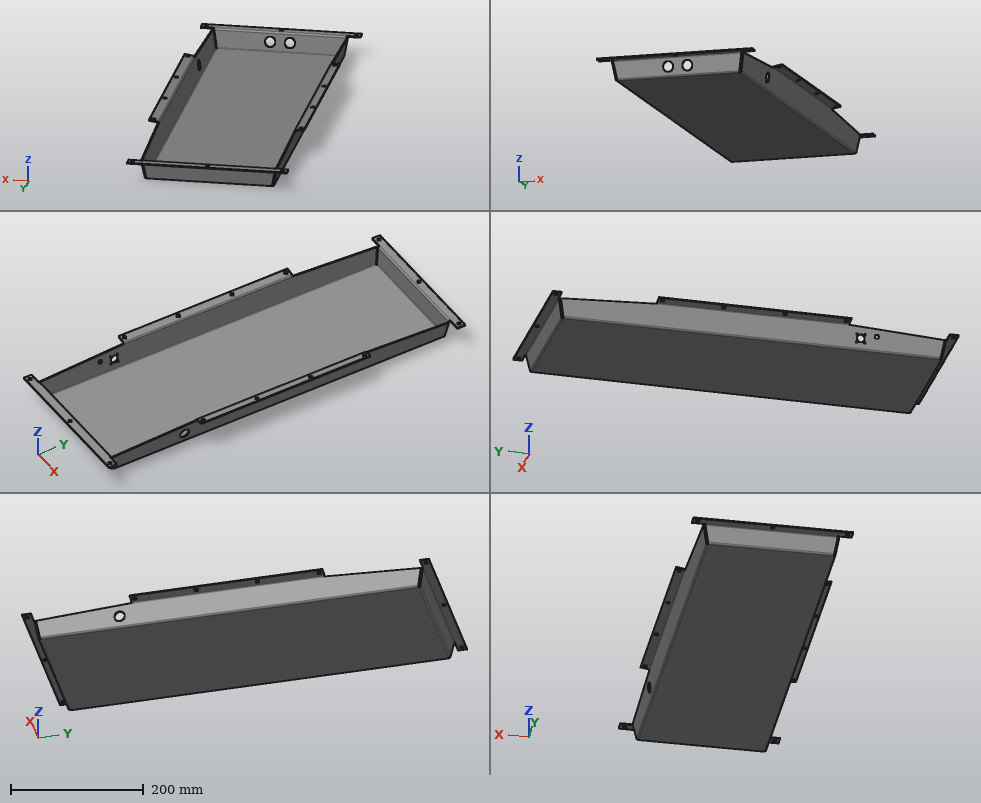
import cadquery as cq
import math

sheet = 2.0
inner_radius = 1.0
outer_radius = inner_radius + sheet
wall_tilt = 10.0
flange_rise = 10.0
corner_gap = 0.95

overall_width = 244.5
overall_length = 630.5
overall_height = 42.0

bottom_half_width = 99.0
bottom_half_length = 295.5

end_flange_top = 31.5
end_flange_inner_y = 301.5
end_hole_x = 115.0
end_hole_y = 309.0

side_flange_edge_x = 119.0
side_flange_half_length = 149.5
side_hole_x = 113.0
side_hole_pitch = 95.0
side_hole_count = 4
mounting_hole_diameter = 5.5

side_edge_high_z = 37.0
side_edge_low_z = 29.5

end_wall_hole_diameter = 16.0
end_wall_hole_x = 15.0
end_wall_hole_z = 16.0
connector_diameter = 12.0
connector_y = -168.5
connector_z = 18.0
screw_diameter = 2.1
screw_offset = 6.0
small_hole_diameter = 6.0
small_hole_y = -193.0
small_hole_z = 23.5
opposite_hole_diameter = 16.0
opposite_hole_y = -169.0

tilt_slope = math.tan(math.radians(wall_tilt))
rise_slope = math.tan(math.radians(flange_rise))
bottom_bend = math.radians(90 - wall_tilt)
bend_setback = outer_radius * math.tan(bottom_bend / 2)
wall_inset = sheet / math.cos(math.radians(wall_tilt)) + corner_gap


def bent_strip(plane, bottom_half, wall_height, flange_edge, flange_slope, half_length):
    """Bottom bend, leaning wall and flange of one edge, as a long extruded strip."""
    flange_angle = math.atan(flange_slope)
    wall_angle = bottom_bend
    top_bend = wall_angle - flange_angle

    def above(point, direction, bend):
        reach = sheet / math.cos(bend / 2)
        return (point[0] - reach * math.sin(direction), point[1] + reach * math.cos(direction))

    start = (bottom_half - bend_setback - sheet, 0)
    corner = (bottom_half, 0)
    shoulder = (bottom_half + wall_height * tilt_slope, wall_height)
    edge = (flange_edge, wall_height + (flange_edge - shoulder[0]) * flange_slope)
    corner_above = above(corner, wall_angle / 2, bottom_bend)
    shoulder_above = above(shoulder, (wall_angle + flange_angle) / 2, top_bend)
    lower = [start, corner, shoulder, edge]
    upper = [above(edge, flange_angle, 0), shoulder_above, corner_above, above(start, 0, 0)]

    strip = cq.Workplane(plane).polyline(lower + upper).close().extrude(half_length, both=True)
    bends = [
        (corner, outer_radius),
        (corner_above, inner_radius),
        (shoulder, inner_radius),
        (shoulder_above, outer_radius),
    ]
    for point, radius in bends:
        target = cq.Plane.named(plane).toWorldCoords(point)
        strip = strip.edges(cq.selectors.NearestToPointSelector(target.toTuple())).fillet(radius)
    return strip


def cylinder(plane, x, y, diameter, start, end):
    """Cutting cylinder standing on a named plane between two offsets along its normal."""
    return (
        cq.Workplane(plane).workplane(offset=start).center(x, y)
        .circle(diameter / 2).extrude(end - start)
    )


def side_wall():
    """Wall and flange on the +X side."""
    tip_drop = sheet * math.cos(math.radians(flange_rise))
    flange_run = (side_flange_edge_x - bottom_half_width) * rise_slope
    height = (overall_height - tip_drop - flange_run) / (1 - tilt_slope * rise_slope)
    strip = bent_strip(
        "XZ", bottom_half_width, height, side_flange_edge_x, rise_slope, overall_length / 2
    )
    half_bottom = bottom_half_length - wall_inset
    half_top = half_bottom + side_edge_low_z * tilt_slope
    half_outline = [
        (half_bottom, 0),
        (half_top, side_edge_low_z),
        (side_flange_half_length, side_edge_high_z),
        (side_flange_half_length, overall_height),
    ]
    mirrored = [(-y, z) for y, z in reversed(half_outline)]
    outline = cq.Workplane("YZ").polyline(half_outline + mirrored).close().extrude(overall_width)
    wall = strip.intersect(outline)
    for index in range(side_hole_count):
        y = (index - (side_hole_count - 1) / 2) * side_hole_pitch
        hole = cylinder("XY", side_hole_x, y, mounting_hole_diameter, height, overall_height)
        wall = wall.cut(hole)
    return wall


def end_wall():
    """Wall and flange on the +Y end."""
    height = end_flange_top - sheet
    strip = bent_strip(
        "YZ", bottom_half_length, height, overall_length / 2, 0, overall_width / 2
    )
    half_bottom = bottom_half_width - wall_inset
    half_top = half_bottom + end_flange_top * tilt_slope
    outline = (
        cq.Workplane("XZ")
        .polyline([
            (-half_bottom, 0), (half_bottom, 0),
            (half_top, end_flange_top), (-half_top, end_flange_top),
        ])
        .close().extrude(-overall_length)
    )
    flange_zone = cq.Workplane("XY").box(
        overall_width, overall_length / 2 - end_flange_inner_y, end_flange_top,
        centered=(True, False, False),
    ).translate((0, end_flange_inner_y, 0))
    wall = strip.intersect(outline.union(flange_zone))
    for x in (-end_hole_x, 0, end_hole_x):
        wall = wall.cut(cylinder("XY", x, end_hole_y, mounting_hole_diameter, 0, overall_height))
    return wall


def wall_openings():
    """Cutters for the holes in the -Y end wall and in both side walls."""
    cutters = []
    for x in (-end_wall_hole_x, end_wall_hole_x):
        cutters.append(
            cylinder("XZ", x, end_wall_hole_z, end_wall_hole_diameter, 0, overall_length / 2)
        )
    left = -overall_width / 2
    cutters.append(cylinder("YZ", connector_y, connector_z, connector_diameter, left, 0))
    for dy in (-screw_offset, screw_offset):
        for dz in (-screw_offset, screw_offset):
            cutters.append(
                cylinder("YZ", connector_y + dy, connector_z + dz, screw_diameter, left, 0)
            )
    cutters.append(cylinder("YZ", small_hole_y, small_hole_z, small_hole_diameter, left, 0))
    cutters.append(
        cylinder("YZ", opposite_hole_y, connector_z, opposite_hole_diameter, 0, -left)
    )
    return cutters


floor = cq.Workplane("XY").box(
    2 * (bottom_half_width - bend_setback), 2 * (bottom_half_length - bend_setback), sheet,
    centered=(True, True, False),
)
right_side = side_wall()
back_end = end_wall()
result = (
    floor.union(right_side).union(right_side.mirror("YZ"))
    .union(back_end).union(back_end.mirror("XZ"))
)
for cutter in wall_openings():
    result = result.cut(cutter)